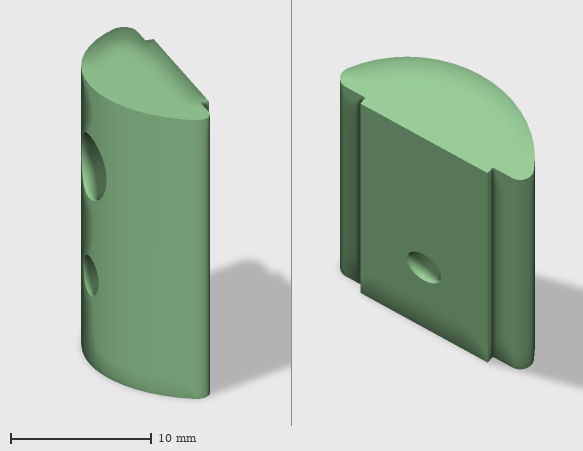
import cadquery as cq
import math

width = 16.4
depth = 7.0
height = 22.0

tongue_width = 11.05
tongue_height = 0.64
corner_radius = 1.0

blind_diameter = 5.0
blind_z = 15.55
blind_depth = 4.4
drill_point_angle = 118.0
through_diameter = 3.0
through_z = 7.0

shoulder_y = depth - tongue_height
corner_x = width / 2 - corner_radius
corner_y = shoulder_y - corner_radius

face_radius = (corner_x**2 + corner_y**2 - corner_radius**2) / (2 * (corner_y - corner_radius))

tangent_angle = math.atan2(corner_y - face_radius, corner_x)


def corner_point(angle, side):
    """Point on a corner round; side is 1 for right and -1 for left."""
    x = corner_x + corner_radius * math.cos(angle)
    y = corner_y + corner_radius * math.sin(angle)
    return (side * x, y)


def make_body():
    middle_angle = (tangent_angle + math.pi / 2) / 2
    return (
        cq.Workplane("XY")
        .moveTo(*corner_point(tangent_angle, -1))
        .threePointArc((0, 0), corner_point(tangent_angle, 1))
        .threePointArc(corner_point(middle_angle, 1), (corner_x, shoulder_y))
        .lineTo(tongue_width / 2, shoulder_y)
        .lineTo(tongue_width / 2, depth)
        .lineTo(-tongue_width / 2, depth)
        .lineTo(-tongue_width / 2, shoulder_y)
        .lineTo(-corner_x, shoulder_y)
        .threePointArc(corner_point(middle_angle, -1), corner_point(tangent_angle, -1))
        .close()
        .extrude(height)
    )


def make_blind_hole():
    """Cylinder ending in a conical drill point, revolved about the Y direction."""
    radius = blind_diameter / 2
    tip_length = radius / math.tan(math.radians(drill_point_angle / 2))
    return (
        cq.Workplane("XY", origin=(0, 0, blind_z))
        .polyline([(0, 0), (radius, 0), (radius, blind_depth), (0, blind_depth + tip_length)])
        .close()
        .revolve(360, (0, 0), (0, 1))
    )


def make_through_hole():
    return (
        cq.Workplane("XZ", origin=(0, 0, through_z))
        .circle(through_diameter / 2)
        .extrude(-depth)
    )


result = make_body().cut(make_blind_hole()).cut(make_through_hole())